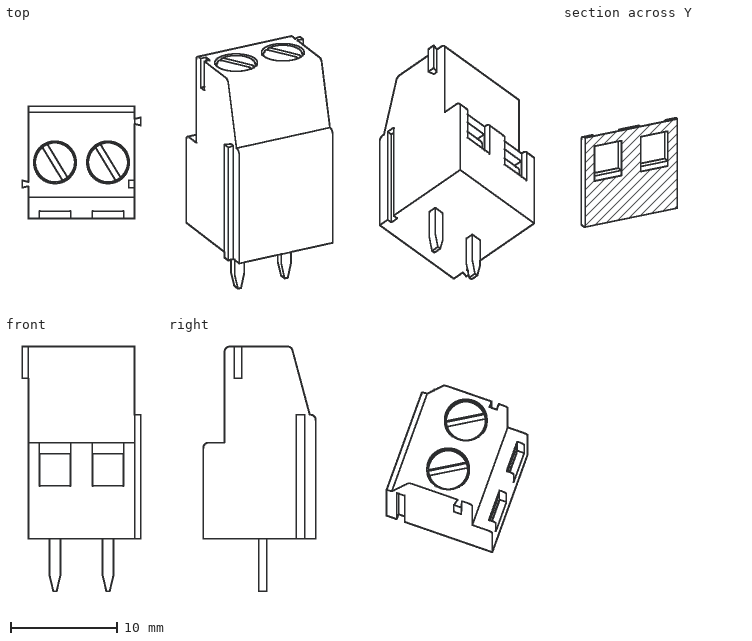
import cadquery as cq
import math


pole_pitch = 5.0
pole_positions = (-pole_pitch / 2, pole_pitch / 2)
housing_width = 2 * pole_pitch
half_width = housing_width / 2
housing_depth = 10.6
housing_height = 18.13
back_y = 5.0
front_y = back_y - housing_depth
edge_radius = 0.5

front_step_depth = 2.0
front_step_height = 9.07
back_step_height = 11.7
slope_top_inset = 2.28
slope_angle = 15.0

rail_projection = 0.6
front_groove_depth = 0.57
back_groove_depth = 0.5
front_rail_y = -2.34
front_rail_length = 3.0
front_rail_tip_width = 0.72
front_rail_root_width = 0.41
back_rail_y = 3.56
back_rail_tip_width = 0.78
back_rail_root_width = 0.49

entry_width = 3.0
entry_recess = 0.7
entry_bottom = 5.0
entry_top = 8.0
cavity_width = 2.88
cavity_floor_drop = 0.5
cavity_bottom = entry_bottom - cavity_floor_drop
clamp_face_recess = 0.92
clamp_face_top = 6.68

screw_y = back_y - housing_depth / 2
screw_diameter = 3.7
screw_length = 1.5
screw_edge_radius = 0.3
screw_hole_diameter = 4.0
counterbore_depth = 0.5
screw_slot_width = 0.55
screw_slot_depth = 0.5
screw_slot_angle = -58.8

pin_length = 4.95
pin_width = 1.05
pin_thickness = 0.77
pin_tip_width = 0.33
pin_taper_length = 1.53


def housing_block():
    """Stepped side outline, swept across the full width, with its outer corners rounded."""
    slope_run = (housing_height - back_step_height) * math.tan(math.radians(slope_angle))
    slope_top_y = back_y - slope_top_inset
    upper_front_y = front_y + front_step_depth
    block = (
        cq.Workplane("YZ")
        .moveTo(front_y, 0)
        .lineTo(back_y, 0)
        .lineTo(back_y, back_step_height)
        .lineTo(slope_top_y + slope_run, back_step_height)
        .lineTo(slope_top_y, housing_height)
        .lineTo(upper_front_y, housing_height)
        .lineTo(upper_front_y, front_step_height)
        .lineTo(front_y, front_step_height)
        .close()
        .extrude(half_width, both=True)
    )
    rounded_corners = (
        (back_y, back_step_height),
        (slope_top_y, housing_height),
        (upper_front_y, housing_height),
        (front_y, front_step_height),
    )
    for y, z in rounded_corners:
        block = block.edges(cq.selectors.NearestToPointSelector((0, y, z))).fillet(edge_radius)
    return block


def dovetail_rail(root_x, tip_x, y, root_width, tip_width, bottom, top):
    """Upright rail that widens from its root to its tip."""
    return (
        cq.Workplane("XY", origin=(0, y, bottom))
        .moveTo(root_x, -root_width / 2)
        .lineTo(tip_x, -tip_width / 2)
        .lineTo(tip_x, tip_width / 2)
        .lineTo(root_x, root_width / 2)
        .close()
        .extrude(top - bottom)
    )


def side_groove(side, y, depth, width, bottom, top):
    """Straight-walled groove in the -X (side = -1) or +X (side = 1) face."""
    return (
        cq.Workplane("XY", origin=(side * (half_width - depth / 2), y, bottom))
        .rect(depth, width)
        .extrude(top - bottom)
    )


def wire_entry(x):
    """Open-topped recess in the front step, with a narrower cavity ending at a rounded clamp."""
    recess = (
        cq.Workplane("XY", origin=(x, front_y + entry_recess / 2, entry_bottom))
        .rect(entry_width, entry_recess)
        .extrude(front_step_height - entry_bottom)
    )
    cavity_y = front_y + entry_recess
    clamp_y = front_y + clamp_face_recess
    clamp_radius = entry_top - clamp_face_top
    quarter_middle = clamp_radius * math.sin(math.radians(45))
    cavity = (
        cq.Workplane("YZ", origin=(x, 0, 0))
        .moveTo(cavity_y, cavity_bottom)
        .lineTo(clamp_y, cavity_bottom)
        .lineTo(clamp_y, clamp_face_top)
        .threePointArc(
            (clamp_y + clamp_radius - quarter_middle, clamp_face_top + quarter_middle),
            (clamp_y + clamp_radius, entry_top),
        )
        .lineTo(cavity_y, entry_top)
        .close()
        .extrude(cavity_width / 2, both=True)
    )
    return recess.union(cavity)


def screw_hole(x):
    """Blind hole that seats the screw, with a wider clearance ring around its head."""
    top = cq.Workplane("XY", origin=(x, screw_y, housing_height))
    seat = top.circle(screw_diameter / 2).extrude(-screw_length)
    clearance = top.circle(screw_hole_diameter / 2).extrude(-counterbore_depth)
    return seat.union(clearance)


def make_housing():
    front_rail_bottom = housing_height - front_rail_length
    rail_tip_x = half_width + rail_projection
    body = housing_block()
    body = body.union(
        dovetail_rail(
            -half_width, -rail_tip_x, front_rail_y,
            front_rail_root_width, front_rail_tip_width, front_rail_bottom, housing_height,
        )
    )
    body = body.union(
        dovetail_rail(
            half_width, rail_tip_x, back_rail_y,
            back_rail_root_width, back_rail_tip_width, 0, back_step_height,
        )
    )
    body = body.cut(
        side_groove(
            1, front_rail_y, front_groove_depth, front_rail_tip_width, front_rail_bottom, housing_height,
        )
    )
    body = body.cut(
        side_groove(-1, back_rail_y, back_groove_depth, back_rail_tip_width, 0, back_step_height)
    )
    for x in pole_positions:
        body = body.cut(wire_entry(x))
        body = body.cut(screw_hole(x))
    return body


def make_screw(x):
    """Slotted screw head, flush with the top of the housing."""
    head = (
        cq.Workplane("XY", origin=(x, screw_y, housing_height - screw_length))
        .circle(screw_diameter / 2)
        .extrude(screw_length)
        .faces(">Z")
        .edges()
        .fillet(screw_edge_radius)
    )
    slot = (
        cq.Workplane("XY", origin=(x, screw_y, housing_height))
        .transformed(rotate=(0, 0, screw_slot_angle))
        .rect(screw_hole_diameter, screw_slot_width)
        .extrude(-screw_slot_depth)
    )
    return head.cut(slot)


def make_pin(x):
    """Flat solder pin that hangs from the underside and tapers to a blunt tip."""
    taper_start = pin_taper_length - pin_length
    return (
        cq.Workplane("XZ", origin=(x, 0, 0))
        .moveTo(-pin_width / 2, 0)
        .lineTo(-pin_width / 2, taper_start)
        .lineTo(-pin_tip_width / 2, -pin_length)
        .lineTo(pin_tip_width / 2, -pin_length)
        .lineTo(pin_width / 2, taper_start)
        .lineTo(pin_width / 2, 0)
        .close()
        .extrude(pin_thickness / 2, both=True)
    )


housing = make_housing()
screws = [make_screw(x) for x in pole_positions]
pins = [make_pin(x) for x in pole_positions]

result = cq.Compound.makeCompound(
    [housing.val(), *[screw.val() for screw in screws], *[pin.val() for pin in pins]]
)